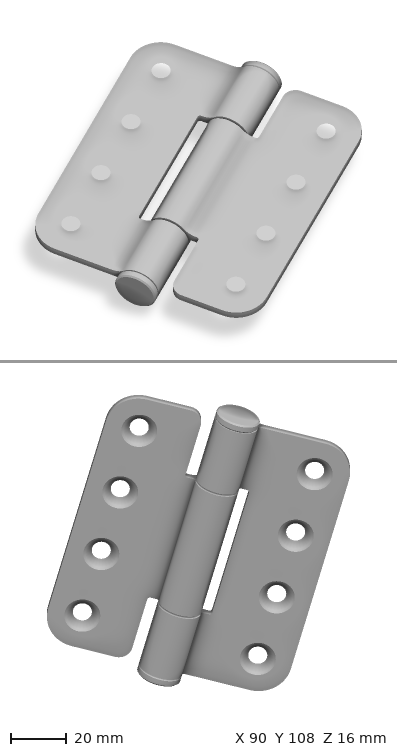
import cadquery as cq
import math


hinge_width = 90.0
pin_length = 108.0
leaf_length = 102.0

leaf_bottom = 0.5
leaf_thickness = 3.0
leaf_top = leaf_bottom + leaf_thickness
leaf_outer_x = hinge_width / 2
leaf_inner_x = 11.9
outer_corner_radius = 12.0
inner_corner_radius = 5.0
notch_corner_radius = 1.0

knuckle_radius = 8.0
neck_top_radius = 6.5
neck_bottom_radius = 0.8
middle_knuckle_length = 49.7
knuckle_gap = 0.9
notch_length = middle_knuckle_length + 2 * knuckle_gap
end_knuckle_length = (leaf_length - notch_length) / 2
end_knuckle_center_y = (notch_length + end_knuckle_length) / 2

pin_radius = 5.3
head_radius = knuckle_radius
head_thickness = (pin_length - leaf_length) / 2
head_chamfer = 0.5

hole_diameter = 6.8
countersink_bottom_diameter = hole_diameter + 2 * leaf_thickness
countersink_half_angle = 45
hole_x = 32.5
holes_per_leaf = 4
hole_spacing = leaf_length / holes_per_leaf

selection_margin = 0.1


def along_y(sketch, length, center_y):
    """Extrude an XZ sketch so that it is centered on center_y."""
    return sketch.extrude(length).translate((0, center_y + length / 2, 0))


def plate(x_start, x_end, length, center_y=0):
    """Flat rectangular plate at leaf height between two X positions."""
    return (
        cq.Workplane("XY")
        .box(x_end - x_start, length, leaf_thickness)
        .translate(((x_start + x_end) / 2, center_y, leaf_bottom + leaf_thickness / 2))
    )


def knuckle(length, center_y):
    """Barrel with a neck that blends into a leaf lying on its +X side."""
    top_z = leaf_top + neck_top_radius
    top_reach = knuckle_radius + neck_top_radius
    top_x = math.sqrt(top_reach**2 - top_z**2)
    bottom_z = leaf_bottom - neck_bottom_radius
    bottom_reach = knuckle_radius + neck_bottom_radius
    bottom_x = math.sqrt(bottom_reach**2 - bottom_z**2)

    top_ratio = knuckle_radius / top_reach
    bottom_ratio = knuckle_radius / bottom_reach
    top_mid_angle = (math.atan2(-top_z, -top_x) - math.pi / 2) / 2
    bottom_mid_angle = (math.atan2(-bottom_z, -bottom_x) + math.pi / 2) / 2
    top_middle = (
        top_x + neck_top_radius * math.cos(top_mid_angle),
        top_z + neck_top_radius * math.sin(top_mid_angle),
    )
    bottom_middle = (
        bottom_x + neck_bottom_radius * math.cos(bottom_mid_angle),
        bottom_z + neck_bottom_radius * math.sin(bottom_mid_angle),
    )
    profile = (
        cq.Workplane("XZ")
        .moveTo(leaf_inner_x, leaf_top)
        .lineTo(top_x, leaf_top)
        .threePointArc(top_middle, (top_x * top_ratio, top_z * top_ratio))
        .threePointArc((-knuckle_radius, 0), (bottom_x * bottom_ratio, bottom_z * bottom_ratio))
        .threePointArc(bottom_middle, (bottom_x, leaf_bottom))
        .lineTo(leaf_inner_x, leaf_bottom)
        .close()
    )
    return along_y(profile, length, center_y)


def pin_bore():
    return along_y(cq.Workplane("XZ").circle(pin_radius), leaf_length, 0)


def screw_holes():
    """Cones at 90 degrees that open toward the underside of the leaf."""
    return (
        cq.Workplane("XY", origin=(hole_x, 0, leaf_bottom))
        .rarray(1.1, hole_spacing, 1, holes_per_leaf)
        .circle(countersink_bottom_diameter / 2)
        .extrude(leaf_thickness, taper=countersink_half_angle)
    )


def inner_edge_corners(length):
    """Selector for edges at the leaf's inner X, within a length centered on Y = 0."""
    half_length = length / 2 + selection_margin
    return cq.selectors.BoxSelector(
        (leaf_inner_x - selection_margin, -half_length, leaf_bottom),
        (leaf_inner_x + selection_margin, half_length, leaf_top),
    )


def leaf(knuckles, corner_selector):
    """Plate on the +X side with its knuckles, bored for the pin."""
    body = plate(leaf_inner_x, leaf_outer_x, leaf_length)
    body = body.edges("|Z and >X").fillet(outer_corner_radius)
    for part in knuckles:
        body = body.union(part)
    body = body.edges("|Z").edges(corner_selector).fillet(notch_corner_radius)
    return body.cut(pin_bore()).cut(screw_holes())


def middle_knuckle_leaf():
    """Right leaf, with a single knuckle and rounded free corners."""
    body = leaf([knuckle(middle_knuckle_length, 0)], inner_edge_corners(middle_knuckle_length))
    return body.edges("|Z").edges(inner_edge_corners(leaf_length)).fillet(inner_corner_radius)


def end_knuckle_leaf():
    """Left leaf, with a knuckle at each end of the hinge."""
    knuckles = [knuckle(end_knuckle_length, side * end_knuckle_center_y) for side in (-1, 1)]
    return leaf(knuckles, inner_edge_corners(notch_length)).mirror("YZ")


def hinge_pin():
    """Shaft through all knuckles with a chamfered head at both ends."""
    body = along_y(cq.Workplane("XZ").circle(pin_radius), leaf_length, 0)
    head_y = (leaf_length + head_thickness) / 2
    for side in (-1, 1):
        head = along_y(cq.Workplane("XZ").circle(head_radius), head_thickness, side * head_y)
        body = body.union(head.faces("|Y").edges().chamfer(head_chamfer))
    return body


left_leaf = end_knuckle_leaf()
right_leaf = middle_knuckle_leaf()
pin = hinge_pin()

result = cq.Compound.makeCompound([left_leaf.val(), right_leaf.val(), pin.val()])